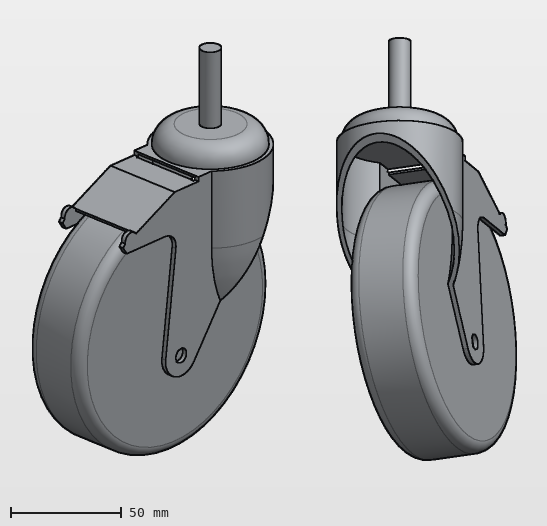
import cadquery as cq
import math


wheel_radius = 62.5
wheel_width = 32.1
wheel_edge_round = 5.3
caster_offset = 40.0

overall_height = 182.6
stem_radius = 5.02
cap_radius = 26.5
cap_height = 10.2
cap_round = 10.0

housing_radius = 28.5
housing_top = 134.5
housing_straight_bottom = 96.0
housing_taper_radius = 109.5
housing_rear_edge = 129.0
side_sheet = 2.4
top_sheet = 1.1

fork_width = 40.2
hub_y = -caster_offset
hub_z = 49.1
hub_radius = 10.14
axle_hole_radius = 3.5
window_top = 112.1
window_corner_y = -42.4
window_corner_round = 7.3

cover_step_y = -28.7
cover_top = 132.2
cover_bend_y = -44.2
cover_end_y = -69.4
cover_end_z = 120.2
cover_slot_width = 1.0

lobe_peak = (-73.0, 121.8)
lobe_end = (-76.3, 117.5)
beak_tip = (-77.8, 115.8)
beak_bottom = (-75.5, window_top)

ceiling = housing_top - top_sheet
inner_width = fork_width - 2 * side_sheet


def hub_tangent(point, side):
    """Point where a line from the given (y, z) point touches the hub circle; side is +1 or -1."""
    dy = point[0] - hub_y
    dz = point[1] - hub_z
    angle = math.atan2(dz, dy) + side * math.acos(hub_radius / math.hypot(dy, dz))
    return hub_y + hub_radius * math.cos(angle), hub_z + hub_radius * math.sin(angle)


rear_corner = (housing_radius, housing_rear_edge)
window_corner = (window_corner_y, window_top)
rear_tangent = hub_tangent(rear_corner, -1)
window_tangent = hub_tangent(window_corner, 1)
hub_bottom = (hub_y, hub_z - hub_radius)


def make_arm_block():
    """Side outline of the fork, extruded over the full fork width."""
    block = (
        cq.Workplane("YZ")
        .moveTo(housing_radius, housing_top)
        .lineTo(*rear_corner)
        .lineTo(*rear_tangent)
        .threePointArc(hub_bottom, window_tangent)
        .lineTo(*window_corner)
        .lineTo(*beak_bottom)
        .lineTo(*beak_tip)
        .lineTo(*lobe_end)
        .threePointArc(lobe_peak, (cover_end_y, cover_end_z))
        .lineTo(cover_bend_y, cover_top)
        .lineTo(cover_step_y, cover_top)
        .lineTo(cover_step_y, housing_top)
        .close()
        .extrude(fork_width / 2, both=True)
    )
    corner_edge = cq.selectors.NearestToPointSelector((0, *window_corner))
    return block.edges("|X").edges(corner_edge).fillet(window_corner_round)


def make_round_housing(inset, top):
    """Turned housing volume with a curved lower end, set inward by the inset."""
    radius = housing_radius - inset
    taper_radius = housing_taper_radius - inset
    taper_centre = radius - taper_radius

    def taper_point(z):
        drop = housing_straight_bottom - z
        return taper_centre + math.sqrt(taper_radius**2 - drop**2), z

    middle_z = (housing_straight_bottom + hub_z) / 2
    return (
        cq.Workplane("XZ")
        .moveTo(0, top)
        .lineTo(radius, top)
        .lineTo(radius, housing_straight_bottom)
        .threePointArc(taper_point(middle_z), taper_point(hub_z))
        .lineTo(0, hub_z)
        .close()
        .revolve(360, (0, 0, 0), (0, 1, 0))
    )


def make_rear_trim():
    """Volume in front of the sloping rear cut."""
    return (
        cq.Workplane("YZ")
        .polyline([
            (housing_radius, housing_top),
            rear_corner,
            rear_tangent,
            (-housing_radius, rear_tangent[1]),
            (-housing_radius, housing_top),
        ])
        .close()
        .extrude(housing_radius, both=True)
    )


def make_footprint():
    """Upright volume that rounds off the rear of the arms to the housing circle."""
    rear = cq.Workplane("XY").circle(housing_radius).extrude(overall_height)
    front = cq.Workplane("XY").box(
        fork_width, 2 * wheel_radius, overall_height, centered=(True, False, False)
    ).translate((0, -2 * wheel_radius, 0))
    return rear.union(front)


def make_wheel_space():
    """Space between the arms, under the cover, with its slot and open front."""
    slot_front = cover_step_y - cover_slot_width
    front = -2 * caster_offset
    return (
        cq.Workplane("YZ")
        .polyline([
            (0, 0),
            (0, ceiling),
            (slot_front, ceiling),
            (slot_front, cover_top - top_sheet),
            (cover_bend_y, cover_top - top_sheet),
            (cover_end_y, cover_end_z - top_sheet),
            (cover_end_y, housing_top),
            (front, housing_top),
            (front, 0),
        ])
        .close()
        .extrude(inner_width / 2, both=True)
    )


def make_cap_and_stem():
    cap = cq.Workplane("XY").workplane(offset=housing_top).circle(cap_radius).extrude(cap_height)
    cap = cap.faces(">Z").edges().fillet(cap_round)
    stem_length = overall_height - housing_top
    stem = cq.Workplane("XY").workplane(offset=housing_top).circle(stem_radius).extrude(stem_length)
    return cap.union(stem)


def make_fork():
    outside = make_round_housing(0, housing_top).intersect(make_rear_trim())
    outside = outside.union(make_arm_block().intersect(make_footprint()))
    fork = outside.cut(make_round_housing(side_sheet, ceiling))
    fork = fork.cut(make_wheel_space())
    axle_hole = (
        cq.Workplane("YZ").center(hub_y, hub_z).circle(axle_hole_radius).extrude(fork_width, both=True)
    )
    return fork.cut(axle_hole).union(make_cap_and_stem())


def make_wheel():
    return (
        cq.Workplane("YZ")
        .center(-caster_offset, wheel_radius)
        .circle(wheel_radius)
        .extrude(wheel_width)
        .translate((-wheel_width / 2, 0, 0))
        .faces("<X or >X")
        .edges()
        .fillet(wheel_edge_round)
    )


fork = make_fork()
wheel = make_wheel()
result = cq.Compound.makeCompound([fork.solids().val(), wheel.solids().val()])